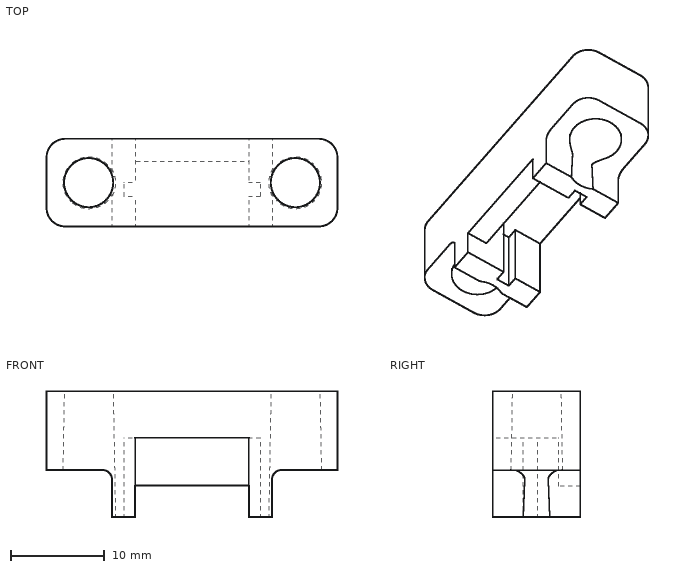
import cadquery as cq

length = 31.0
width = 9.35
total_height = 13.4
leg_height = 5.0
corner_radius = 2.0

leg_outer_x = 8.52
leg_inner_x = 6.05
leg_fillet = 1.0
recess_height = 8.45

wall_bottom = 3.35
wall_thickness = 2.4

notch_depth = 1.2
notch_width = 1.52
notch_setback = 3.22

hole_x = 11.0
hole_top_radius = 2.6
hole_bottom_radius = 2.85

front_y = -width / 2
back_y = width / 2


def box(x_min, x_max, y_min, y_max, z_min, z_max):
    """Axis-aligned box between the given limits."""
    size = (x_max - x_min, y_max - y_min, z_max - z_min)
    return cq.Workplane("XY").box(*size, centered=False).translate((x_min, y_min, z_min))


def main_block():
    """Upper block with rounded vertical corners."""
    block = cq.Workplane("XY").workplane(offset=leg_height).rect(length, width)
    return block.extrude(total_height - leg_height).edges("|Z").fillet(corner_radius)


def leg_block():
    """Lower block whose outer sides flare into the main block with fillets."""
    flare_x = leg_outer_x + leg_fillet
    flare_z = leg_height - leg_fillet
    profile = (
        cq.Workplane("XZ", origin=(0, back_y, 0))
        .moveTo(-leg_outer_x, 0)
        .lineTo(leg_outer_x, 0)
        .lineTo(leg_outer_x, flare_z)
        .radiusArc((flare_x, leg_height), leg_fillet)
        .lineTo(flare_x, total_height)
        .lineTo(-flare_x, total_height)
        .lineTo(-flare_x, leg_height)
        .radiusArc((-leg_outer_x, flare_z), leg_fillet)
        .close()
    )
    return profile.extrude(width)


def recess():
    """Opening between the legs, open to the front and bottom, running below the cross wall."""
    wall_front_y = back_y - wall_thickness
    opening = box(-leg_inner_x, leg_inner_x, front_y, wall_front_y, 0, recess_height)
    passage = box(-leg_inner_x, leg_inner_x, front_y, back_y, 0, wall_bottom)
    return opening.union(passage)


def notches():
    """Matching notches cut into both legs by one wide slot."""
    reach = leg_inner_x + notch_depth
    start_y = front_y + notch_setback
    return box(-reach, reach, start_y, start_y + notch_width, 0, recess_height)


def tapered_hole(x):
    """Conical cutter centred at x, which also grooves the outer side of a leg."""
    return (
        cq.Workplane("XY", origin=(x, 0, 0))
        .circle(hole_bottom_radius)
        .workplane(offset=total_height)
        .circle(hole_top_radius)
        .loft(combine=True)
    )


result = main_block().union(leg_block()).cut(recess()).cut(notches())
for x in (-hole_x, hole_x):
    result = result.cut(tapered_hole(x))